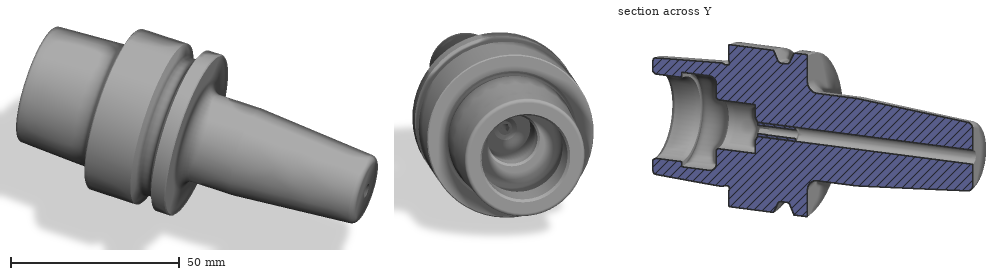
import cadquery as cq
import math

overall_length = 104.9

taper_end_x = 22.8
taper_end_radius = 19.1
taper_slope = 0.05
taper_lead_radius = 1.0

relief_radius = 18.7
relief_start_x = 23.7
relief_end_x = 24.4
undercut_radius = 19.4
undercut_depth = 0.2
undercut_rim_radius = 20.0

flange_diameter = 50.0
flange_radius = flange_diameter / 2
flange_start_x = 24.9
flange_end_x = 50.8
flange_chamfer = 0.3
groove_start_x = 39.7
groove_end_x = 46.3
groove_floor_radius = 21.4
groove_wall_angle = 25.0
groove_fillet = 0.9

shank_radius = 13.5
shank_fillet = 3.0
nose_start_x = 66.8
nose_tip_radius = 10.5
nose_fillet = 1.9

mouth_radius = 13.5
mouth_chamfer_depth = 1.0
clamp_bore_radius = 12.9
clamp_shoulder_x = 9.7
clamp_groove_radius = 14.5
clamp_floor_x = 20.8
clamp_floor_fillet = 2.2

tube_bore_radius = 7.5
tube_bore_chamfer = 0.6
tube_bore_end_x = 33.6
drill_mouth_radius = 3.5
drill_half_angle = 60.0
centre_bore_radius = 2.1

screw_length = 12.6
hex_across_flats = 2.4
hex_depth = 3.1
screw_hole_radius = 1.3

drill_point_length = (drill_mouth_radius - centre_bore_radius) / math.tan(math.radians(drill_half_angle))
drill_end_x = tube_bore_end_x + drill_point_length


def revolve_about_x(outline):
    """Turn a closed half outline, drawn as (x, radius), into a solid."""
    return outline.close().revolve(360, (0, 0, 0), (1, 0, 0))


def make_holder_blank():
    taper_start_radius = taper_end_radius - taper_slope * taper_end_x
    undercut_x = flange_start_x + undercut_depth

    wall_run = (flange_radius - groove_floor_radius) * math.tan(math.radians(groove_wall_angle))
    wall_turn = math.radians(90 - groove_wall_angle)
    tangent_length = groove_fillet * math.tan(wall_turn / 2)
    floor_start_x = groove_start_x + wall_run + tangent_length
    floor_end_x = groove_end_x - wall_run - tangent_length
    wall_inset = wall_run - tangent_length * math.cos(wall_turn)
    wall_foot_radius = groove_floor_radius + tangent_length * math.sin(wall_turn)

    outline = (
        cq.Workplane("XZ")
        .lineTo(0, taper_start_radius)
        .lineTo(taper_end_x, taper_end_radius)
        .lineTo(relief_start_x, relief_radius)
        .lineTo(relief_end_x, relief_radius)
        .tangentArcPoint((undercut_x, undercut_radius), relative=False)
        .lineTo(flange_start_x, undercut_rim_radius)
        .lineTo(flange_start_x, flange_radius - flange_chamfer)
        .lineTo(flange_start_x + flange_chamfer, flange_radius)
        .lineTo(groove_start_x, flange_radius)
        .lineTo(groove_start_x + wall_inset, wall_foot_radius)
        .tangentArcPoint((floor_start_x, groove_floor_radius), relative=False)
        .lineTo(floor_end_x, groove_floor_radius)
        .tangentArcPoint((groove_end_x - wall_inset, wall_foot_radius), relative=False)
        .lineTo(groove_end_x, flange_radius)
        .lineTo(flange_end_x - flange_chamfer, flange_radius)
        .lineTo(flange_end_x, flange_radius - flange_chamfer)
        .lineTo(flange_end_x, shank_radius + shank_fillet)
        .radiusArc((flange_end_x + shank_fillet, shank_radius), -shank_fillet)
        .lineTo(nose_start_x, shank_radius)
        .lineTo(overall_length, nose_tip_radius)
        .lineTo(overall_length, 0)
    )
    blank = revolve_about_x(outline)
    blank = blank.faces("<X").edges().fillet(taper_lead_radius)
    return blank.faces(">X").edges().fillet(nose_fillet)


def make_clamping_bore():
    outline = (
        cq.Workplane("XZ")
        .lineTo(0, mouth_radius)
        .lineTo(mouth_chamfer_depth, clamp_bore_radius)
        .lineTo(clamp_shoulder_x, clamp_bore_radius)
        .lineTo(clamp_shoulder_x, clamp_groove_radius)
        .lineTo(clamp_floor_x, clamp_groove_radius)
        .lineTo(clamp_floor_x, 0)
    )
    return revolve_about_x(outline).faces(">X").edges().fillet(clamp_floor_fillet)


def make_stepped_bore():
    outline = (
        cq.Workplane("XZ")
        .moveTo(clamp_floor_x, 0)
        .lineTo(clamp_floor_x, tube_bore_radius + tube_bore_chamfer)
        .lineTo(clamp_floor_x + tube_bore_chamfer, tube_bore_radius)
        .lineTo(tube_bore_end_x, tube_bore_radius)
        .lineTo(tube_bore_end_x, drill_mouth_radius)
        .lineTo(drill_end_x, centre_bore_radius)
        .lineTo(overall_length, centre_bore_radius)
        .lineTo(overall_length, 0)
    )
    return revolve_about_x(outline)


def make_screw():
    """A plain round screw at the start of the centre bore, with a hexagon socket and a hole behind it."""
    hex_across_corners = hex_across_flats / math.cos(math.radians(30))
    near_end = cq.Workplane("YZ", origin=(drill_end_x, 0, 0))
    socket = near_end.polygon(6, hex_across_corners).extrude(hex_depth)
    hole = near_end.workplane(offset=hex_depth).circle(screw_hole_radius).extrude(screw_length - hex_depth)
    return near_end.circle(centre_bore_radius).extrude(screw_length).cut(socket).cut(hole)


holder = make_holder_blank().cut(make_clamping_bore()).cut(make_stepped_bore())
screw = make_screw()

result = cq.Compound.makeCompound([holder.val(), screw.val()])